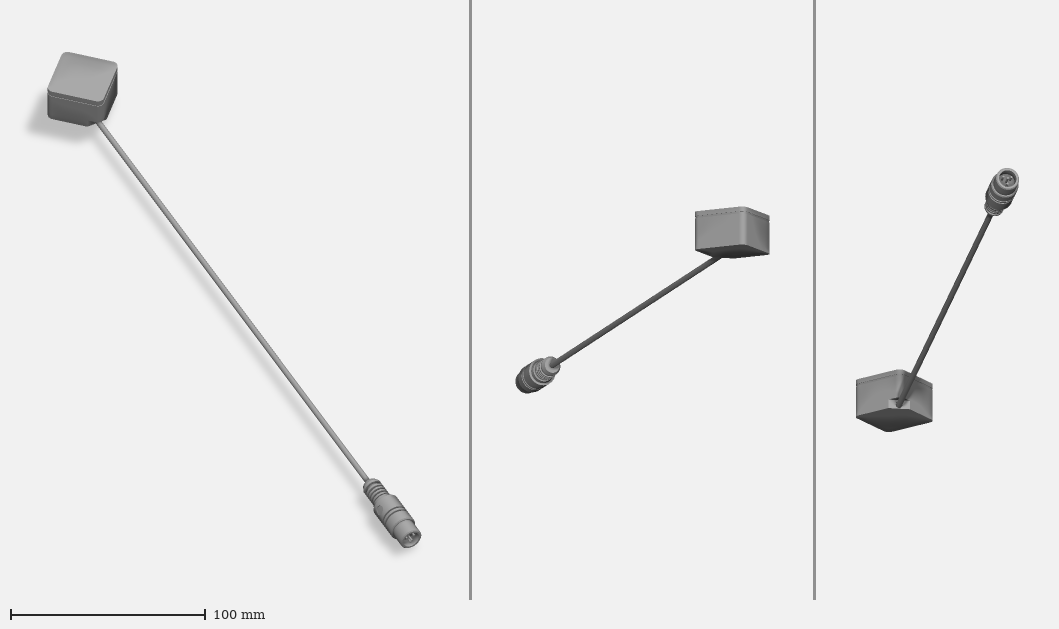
import cadquery as cq
import math

overall_size = 273.2

box_side = 30.0
box_height = 20.0
box_corner_radius = 3.3
lid_height = 2.5
lid_groove_width = 1.0
lid_groove_depth = 0.3
notch_leg = 8.0
notch_height = 4.6

cable_diameter = 3.0
cable_height = 2.2
cable_embed = 5.5
cable_bore_diameter = 3.5
cable_bore_depth = 1.5

plug_length = 45.3
nose_bevel = 2.2
nose_diameter = 8.0
relief_diameter = 10.0
relief_core_diameter = 7.5
collar_length = 3.5
relief_length = 14.5
rib_count = 4
rib_gap = 1.0
neck_length = 2.0
shoulder_length = 2.7
shoulder_start_diameter = 11.2
sleeve_diameter = 12.0
body_diameter = 14.2
body_length = 9.5
nut_length = 9.8
nut_groove_width = 1.0
nut_groove_diameter = 12.0
nut_groove_offsets = (0.0, 2.5)
nut_chamfer = 0.5
sleeve_chamfer = 0.5

socket_diameter = 9.0
socket_depth = 5.5
pin_diameter = 1.0
pin_circle_diameter = 5.0
pin_count = 3
pin_recess = 0.8
centre_pin_protrusion = 0.8

marker_diameter = 5.0
marker_depth = 0.5
marker_elevation = 30.0

axis_direction = cq.Vector(1, -1, 0).normalized()
cable_side = cq.selectors.DirectionMinMaxSelector(axis_direction, False)
plug_end_side = cq.selectors.DirectionMinMaxSelector(axis_direction, True)
plug_end = overall_size * math.sqrt(2) - sleeve_diameter / 2 + sleeve_chamfer
plug_start = plug_end - plug_length
notch_face_distance = (2 * box_side - notch_leg) / math.sqrt(2)


def axis_plane(distance):
    """Plane across the plug axis, with its local Y pointing up."""
    origin = cq.Vector(0, overall_size, cable_height) + axis_direction * distance
    return cq.Plane(origin=origin, xDir=cq.Vector(-1, -1, 0), normal=axis_direction)


def axis_cylinder(start, length, diameter):
    return cq.Workplane(axis_plane(start)).circle(diameter / 2).extrude(length)


def rounded_block(inset, bottom, height):
    side = box_side - 2 * inset
    centre = (box_side / 2, overall_size - box_side / 2, bottom)
    block = cq.Workplane("XY").box(side, side, height, centered=(True, True, False))
    return block.edges("|Z").fillet(box_corner_radius - inset).translate(centre)


def make_box():
    """Lidded box with a shallow groove under the lid and a 45 degree notch where the cable leaves."""
    groove_bottom = box_height - lid_height - lid_groove_width
    box = rounded_block(0, 0, groove_bottom)
    box = box.union(rounded_block(lid_groove_depth, groove_bottom, lid_groove_width))
    box = box.union(rounded_block(0, box_height - lid_height, lid_height))
    corner_x = box_side
    corner_y = overall_size - box_side
    notch = (
        cq.Workplane("XY")
        .polyline([(corner_x, corner_y), (corner_x - notch_leg, corner_y), (corner_x, corner_y + notch_leg)])
        .close()
        .extrude(notch_height)
    )
    bore = axis_cylinder(notch_face_distance - cable_bore_depth, cable_bore_depth, cable_bore_diameter)
    return box.cut(notch).cut(bore)


def make_cable():
    """Straight cable from inside the box to the strain relief."""
    start = notch_face_distance - cable_embed
    return axis_cylinder(start, plug_start - start, cable_diameter)


def make_strain_relief():
    """Bevelled collar, a neck and a row of ribs on a common core."""
    relief = axis_cylinder(plug_start, collar_length, relief_diameter)
    relief = relief.faces(cable_side).chamfer(nose_bevel, (relief_diameter - nose_diameter) / 2)
    core_length = relief_length - collar_length
    relief = relief.union(axis_cylinder(plug_start + collar_length, core_length, relief_core_diameter))
    first_rib_start = plug_start + collar_length + neck_length
    rib_pitch = (plug_start + relief_length - first_rib_start) / rib_count
    for index in range(rib_count):
        rib_start = first_rib_start + index * rib_pitch
        relief = relief.union(axis_cylinder(rib_start, rib_pitch - rib_gap, relief_diameter))
    return relief


def make_body():
    """Conical shoulder, round body and the grooved coupling nut."""
    shoulder_start = plug_start + relief_length
    body_start = shoulder_start + shoulder_length
    nut_start = body_start + body_length
    shoulder = (
        cq.Workplane(axis_plane(shoulder_start))
        .circle(shoulder_start_diameter / 2)
        .workplane(offset=shoulder_length)
        .circle(sleeve_diameter / 2)
        .loft()
    )
    body = axis_cylinder(body_start, body_length + nut_length, body_diameter)
    body = body.faces(plug_end_side).chamfer(nut_chamfer)
    for offset in nut_groove_offsets:
        groove = axis_cylinder(nut_start + offset, nut_groove_width, body_diameter)
        groove_core = axis_cylinder(nut_start + offset, nut_groove_width, nut_groove_diameter)
        body = body.cut(groove.cut(groove_core))
    return body.union(shoulder).cut(make_marker(body_start + body_length / 2))


def make_marker(distance):
    """Cutter for the shallow round marker, raised above the horizontal on the -X, -Y side."""
    elevation = math.radians(marker_elevation)
    level = math.cos(elevation) / math.sqrt(2)
    outward = cq.Vector(-level, -level, math.sin(elevation))
    floor = axis_plane(distance).origin + outward * (body_diameter / 2 - marker_depth)
    plane = cq.Plane(origin=floor, xDir=axis_direction, normal=outward)
    return cq.Workplane(plane).circle(marker_diameter / 2).extrude(body_diameter / 2)


def make_sleeve():
    """Open sleeve with a ring of contact pins and one longer central pin."""
    sleeve_start = plug_start + relief_length + shoulder_length + body_length + nut_length
    sleeve = axis_cylinder(sleeve_start, plug_end - sleeve_start, sleeve_diameter)
    sleeve = sleeve.faces(plug_end_side).chamfer(sleeve_chamfer)
    socket_floor = plug_end - socket_depth
    sleeve = sleeve.cut(axis_cylinder(socket_floor, socket_depth, socket_diameter))
    pins = (
        cq.Workplane(axis_plane(socket_floor))
        .polarArray(pin_circle_diameter / 2, 90, 360, pin_count)
        .circle(pin_diameter / 2)
        .extrude(socket_depth - pin_recess)
    )
    centre_pin = axis_cylinder(socket_floor, socket_depth + centre_pin_protrusion, pin_diameter)
    return sleeve.union(pins).union(centre_pin)


result = (
    make_box()
    .union(make_cable())
    .union(make_strain_relief())
    .union(make_body())
    .union(make_sleeve())
)